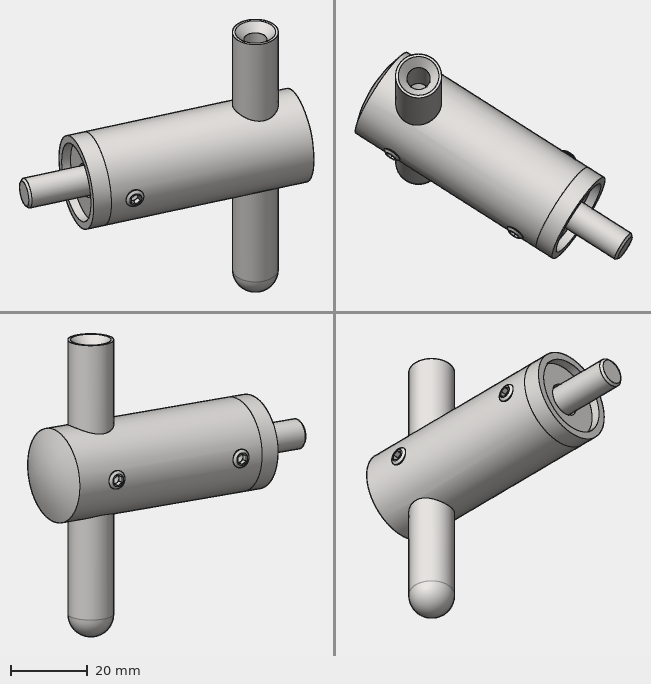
import cadquery as cq
import math

housing_diameter = 25.0
cap_length = 5.0
overall_y = 64.0
dome_height = 2.5
housing_radius = housing_diameter / 2
dome_base_y = overall_y - dome_height

cap_recess_diameter = 21.0
cap_recess_depth = 2.5
cap_bore_diameter = 9.0

pin_diameter = 8.0
pin_projection = 14.6
pin_end_y = 20.0
pin_chamfer = 0.6

bar_diameter = 12.0
bar_length = 80.0
bar_top_z = 35.0
bar_y = 50.0
bar_radius = bar_diameter / 2
bar_bottom_z = bar_top_z - bar_length
bar_hole_diameter = 6.0
bar_hole_depth = 16.0
drill_tip_angle = 118.0
countersink_diameter = 10.6
countersink_angle = 90.0

screw_diameter = 5.0
screw_head_x = 26.2 / 2
screw_face_diameter = 3.4
screw_chamfer_length = 0.6
socket_across_flats = 2.5
socket_depth = 1.6
socket_tip_angle = 120.0
pin_screw_y = 11.5
screws = [
    (-1, bar_y, bar_radius),
    (-1, pin_screw_y, pin_diameter / 2),
    (1, pin_screw_y, pin_diameter / 2),
]


def y_cylinder(diameter, start_y, end_y):
    """Cylinder on the housing axis."""
    return (
        cq.Workplane("XZ", origin=(0, start_y, 0))
        .circle(diameter / 2)
        .extrude(start_y - end_y)
    )


def cone_height(diameter, full_angle):
    """Height of a cone from its base diameter and full apex angle."""
    return diameter / 2 / math.tan(math.radians(full_angle / 2))


def screw_plane(side, y, distance):
    """Plane facing outwards on one side of the housing."""
    return cq.Plane(origin=(side * distance, y, 0), xDir=(0, 1, 0), normal=(side, 0, 0))


def make_housing():
    """Domed cylinder with close-fitting holes for the pin, bar and screws."""
    dome_radius = (housing_radius**2 + dome_height**2) / (2 * dome_height)
    half_angle = math.asin(housing_radius / dome_radius) / 2
    arc_mid = (
        dome_radius * math.sin(half_angle),
        overall_y - dome_radius * (1 - math.cos(half_angle)),
    )
    body = (
        cq.Workplane("XY")
        .moveTo(0, cap_length)
        .lineTo(housing_radius, cap_length)
        .lineTo(housing_radius, dome_base_y)
        .threePointArc(arc_mid, (0, overall_y))
        .close()
        .revolve(360, (0, 0, 0), (0, 1, 0))
    )
    bar_hole = (
        cq.Workplane("XY", origin=(0, bar_y, 0))
        .circle(bar_radius)
        .extrude(housing_radius, both=True)
    )
    body = body.cut(bar_hole).cut(y_cylinder(pin_diameter, cap_length, pin_end_y))
    for side, y, inner_radius in screws:
        screw_hole = (
            cq.Workplane(screw_plane(side, y, inner_radius))
            .circle(screw_diameter / 2)
            .extrude(housing_radius - inner_radius)
        )
        body = body.cut(screw_hole)
    return body


def make_end_cap():
    """Cap with a front recess and a clearance bore around the pin."""
    return (
        y_cylinder(housing_diameter, 0, cap_length)
        .cut(y_cylinder(cap_recess_diameter, 0, cap_recess_depth))
        .cut(y_cylinder(cap_bore_diameter, 0, cap_length))
    )


def make_pin():
    """Straight pin with a chamfered front end."""
    return y_cylinder(pin_diameter, -pin_projection, pin_end_y).faces("<Y").chamfer(pin_chamfer)


def make_bar():
    """Cross bar with a spherical lower end and a countersunk blind hole on top."""
    hole_radius = bar_hole_diameter / 2
    countersink_radius = countersink_diameter / 2
    countersink_depth = cone_height(countersink_diameter - bar_hole_diameter, countersink_angle)
    hole_bottom_z = bar_top_z - bar_hole_depth
    hole_tip_z = hole_bottom_z - cone_height(bar_hole_diameter, drill_tip_angle)
    sphere_center_z = bar_bottom_z + bar_radius
    arc_offset = bar_radius * math.sqrt(0.5)
    return (
        cq.Workplane("XZ", origin=(0, bar_y, 0))
        .moveTo(0, bar_bottom_z)
        .threePointArc((arc_offset, sphere_center_z - arc_offset), (bar_radius, sphere_center_z))
        .lineTo(bar_radius, bar_top_z)
        .lineTo(countersink_radius, bar_top_z)
        .lineTo(hole_radius, bar_top_z - countersink_depth)
        .lineTo(hole_radius, hole_bottom_z)
        .lineTo(0, hole_tip_z)
        .close()
        .revolve(360, (0, 0, 0), (0, 1, 0))
    )


def make_screw(side, y, inner_radius):
    """Set screw with a chamfered outer end and a hexagon socket with a conical floor."""
    length = screw_head_x - inner_radius
    screw = (
        cq.Workplane("XZ")
        .lineTo(screw_diameter / 2, 0)
        .lineTo(screw_diameter / 2, length - screw_chamfer_length)
        .lineTo(screw_face_diameter / 2, length)
        .lineTo(0, length)
        .close()
        .revolve(360, (0, 0, 0), (0, 1, 0))
    )
    socket_floor_z = length - socket_depth
    socket = (
        cq.Workplane("XY", origin=(0, 0, socket_floor_z))
        .polygon(6, socket_across_flats, circumscribed=True)
        .extrude(socket_depth)
    )
    tip_height = cone_height(socket_across_flats, socket_tip_angle)
    socket_tip = (
        cq.Workplane("XZ")
        .moveTo(0, socket_floor_z - tip_height)
        .lineTo(socket_across_flats / 2, socket_floor_z)
        .lineTo(0, socket_floor_z)
        .close()
        .revolve(360, (0, 0, 0), (0, 1, 0))
    )
    screw = screw.cut(socket).cut(socket_tip)
    return screw.val().moved(screw_plane(side, y, inner_radius).location)


housing = make_housing()
end_cap = make_end_cap()
pin = make_pin()
bar = make_bar()
set_screws = [make_screw(side, y, inner_radius) for side, y, inner_radius in screws]

result = cq.Compound.makeCompound(
    [housing.val(), end_cap.val(), pin.val(), bar.val(), *set_screws]
)